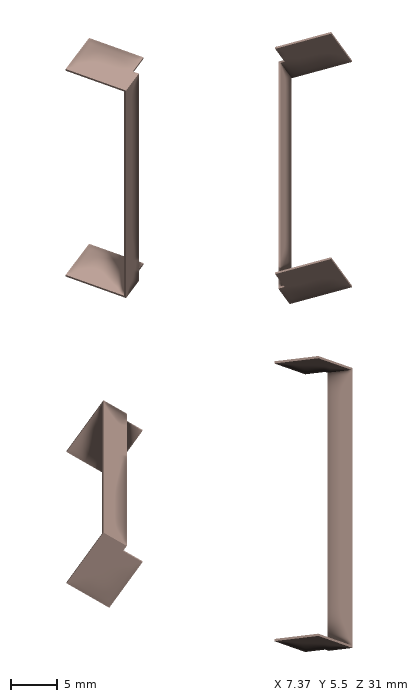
import cadquery as cq

length_x = 7.37
width_y = 5.5
height_z = 30.97

sheet_thickness = 0.25
web_width = 3.0
notch_depth = 0.75


def flange(bottom_z):
    """Horizontal plate with its rear corner next to the web cut away."""
    notch_x = length_x - notch_depth
    return (
        cq.Workplane("XY", origin=(0, 0, bottom_z))
        .moveTo(0, 0)
        .lineTo(length_x, 0)
        .lineTo(length_x, web_width)
        .lineTo(notch_x, web_width)
        .lineTo(notch_x, width_y)
        .lineTo(0, width_y)
        .close()
        .extrude(sheet_thickness)
    )


web = cq.Workplane("XY").box(sheet_thickness, web_width, height_z, centered=False)
web = web.translate((length_x - sheet_thickness, 0, 0))

result = web
for bottom_z in (0, height_z - sheet_thickness):
    result = result.union(flange(bottom_z))